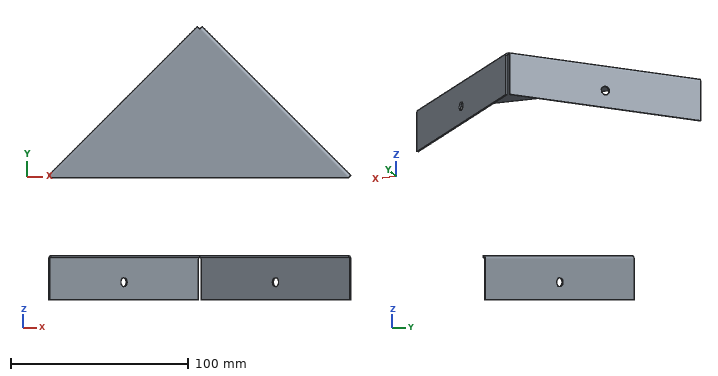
import cadquery as cq
import math

sheet_thickness = 1.0
bend_outer_radius = 2.0
plate_long_side = 168.0
total_height = 25.0
hole_diameter = 5.0
hole_height = 10.0

bend_inner_radius = bend_outer_radius - sheet_thickness
half_long_side = plate_long_side / 2
leg_length = plate_long_side / math.sqrt(2)
plate_underside = total_height - sheet_thickness
bend_axis_height = total_height - bend_outer_radius
arc_factor = math.sqrt(0.5)


def make_plate():
    """Flat right-angled triangle with its long edge on the X axis."""
    return (
        cq.Workplane("XY")
        .workplane(offset=plate_underside)
        .polyline([(-half_long_side, 0), (half_long_side, 0), (0, half_long_side)])
        .close()
        .extrude(sheet_thickness)
    )


def make_right_flange():
    """Bend and drilled flange along the right leg, starting at the plate apex."""
    section_plane = cq.Plane(
        origin=(0, half_long_side, 0),
        xDir=(1, 1, 0),
        normal=(1, -1, 0),
    )
    outer_mid = bend_outer_radius * arc_factor
    inner_mid = bend_inner_radius * arc_factor
    flange = (
        cq.Workplane(section_plane)
        .moveTo(0, total_height)
        .threePointArc((outer_mid, bend_axis_height + outer_mid), (bend_outer_radius, bend_axis_height))
        .lineTo(bend_outer_radius, 0)
        .lineTo(bend_inner_radius, 0)
        .lineTo(bend_inner_radius, bend_axis_height)
        .threePointArc((inner_mid, bend_axis_height + inner_mid), (0, plate_underside))
        .close()
        .extrude(leg_length)
    )
    hole_plane = cq.Plane(
        origin=(half_long_side / 2, half_long_side / 2, hole_height),
        xDir=(1, -1, 0),
        normal=(1, 1, 0),
    )
    hole = cq.Workplane(hole_plane).circle(hole_diameter / 2).extrude(2 * bend_outer_radius)
    return flange.cut(hole)


right_flange = make_right_flange()
left_flange = right_flange.mirror("YZ")
result = make_plate().union(right_flange).union(left_flange)